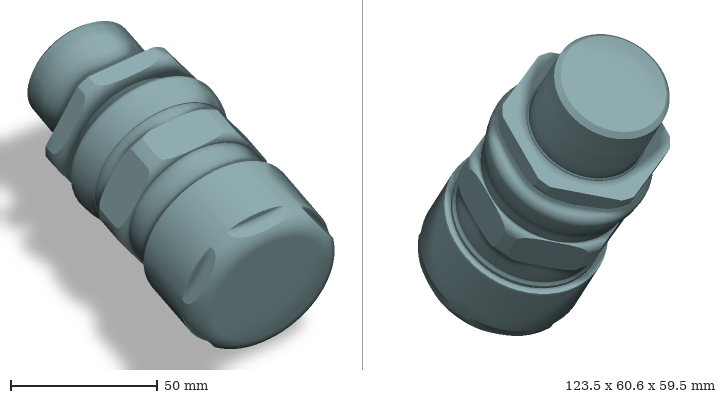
import cadquery as cq
import math

entry_chamfer_end = 1.7
thread_taper_end = 13.7
entry_hex_start = 28.3
entry_hex_end = 35.8
neck_start = 36.9
neck_flare_end = 41.0
ring_start = 41.4
ring_end = 55.0
body_hex_start = 60.6
body_hex_end = 76.3
collar_start = 87.8
collar_chamfer_end = 88.9
cap_start = 90.4
cap_flats_start = 115.1
overall_length = 123.5

entry_tip_diameter = 38.2
thread_tip_diameter = 41.9
thread_diameter = 42.1
neck_small_diameter = 45.0
neck_shoulder_diameter = 45.8
neck_large_diameter = 47.5
outer_diameter = 59.5
ring_rear_diameter = 54.7
body_front_diameter = 54.0
body_rear_diameter = 53.0
collar_diameter = ring_rear_diameter

side_count = 6
side_angle = 360 / side_count
hex_across_flats = 54.8
hex_corner_diameter = 60.6
entry_hex_rounding = 3.7
body_hex_rounding = 3.03

entry_fillet = 0.6
ring_front_rounding = 3.3
cap_end_rounding = 7.0
cap_step_fillet = 0.6
cap_lip_length = 0.7
cap_lip_depth = 0.1


def turned(profile):
    """Revolve a closed profile, drawn as X against radius, about the X axis."""
    return profile.close().revolve(360, (0, 0, 0), (1, 0, 0))


def hex_bar(start, end):
    """Hexagonal bar along X with flats facing +Z and -Z."""
    corner_to_corner = hex_across_flats / math.cos(math.pi / side_count)
    return cq.Workplane("YZ").workplane(offset=start).polygon(side_count, corner_to_corner).extrude(end - start)


def rounded_hex(start, end, rounding, round_front):
    """Hexagon whose corners are turned down to a cylinder with rounded ends."""
    blank = cq.Workplane("YZ").workplane(offset=start).circle(hex_corner_diameter / 2).extrude(end - start)
    blank = blank.faces(">X").edges().fillet(rounding)
    if round_front:
        blank = blank.faces("<X").edges().fillet(rounding)
    return blank.intersect(hex_bar(start, end))


def make_entry():
    """Tapered, chamfered entry spigot with a hexagon flange and a flared neck behind it."""
    spigot = turned(
        cq.Workplane("XY")
        .lineTo(0, entry_tip_diameter / 2)
        .lineTo(entry_chamfer_end, thread_tip_diameter / 2)
        .lineTo(thread_taper_end, thread_diameter / 2)
        .lineTo(entry_hex_start - entry_fillet, thread_diameter / 2)
        .radiusArc((entry_hex_start, thread_diameter / 2 + entry_fillet), entry_fillet)
        .lineTo(entry_hex_start, 0)
    )
    neck = turned(
        cq.Workplane("XY")
        .moveTo(entry_hex_end, 0)
        .lineTo(entry_hex_end, neck_shoulder_diameter / 2)
        .lineTo(neck_start, neck_small_diameter / 2)
        .lineTo(neck_flare_end, neck_large_diameter / 2)
        .lineTo(ring_start, neck_large_diameter / 2)
        .lineTo(ring_start, 0)
    )
    flange = rounded_hex(entry_hex_start, entry_hex_end, entry_hex_rounding, round_front=False)
    return spigot.union(flange).union(neck)


def make_seal_ring():
    """Barrel-shaped ring with a rounded front edge and a bulge that falls away to the rear."""
    crest = outer_diameter / 2
    crest_start = ring_start + ring_front_rounding
    bulge_length = ring_end - crest_start
    bulge_drop = crest - ring_rear_diameter / 2
    bulge_radius = (bulge_length**2 + bulge_drop**2) / (2 * bulge_drop)
    bore = neck_large_diameter / 2
    return turned(
        cq.Workplane("XY")
        .moveTo(ring_start, bore)
        .lineTo(ring_start, crest - ring_front_rounding)
        .radiusArc((crest_start, crest), ring_front_rounding)
        .radiusArc((ring_end, ring_rear_diameter / 2), bulge_radius)
        .lineTo(ring_end, bore)
    )


def make_body():
    """Main body: spigot through the ring, front cylinder, hexagon, rear cylinder and collar."""
    barrel = turned(
        cq.Workplane("XY")
        .moveTo(ring_start, 0)
        .lineTo(ring_start, neck_large_diameter / 2)
        .lineTo(ring_end, neck_large_diameter / 2)
        .lineTo(ring_end, body_front_diameter / 2)
        .lineTo(body_hex_start, body_front_diameter / 2)
        .lineTo(body_hex_start, body_rear_diameter / 2)
        .lineTo(collar_start, body_rear_diameter / 2)
        .lineTo(collar_chamfer_end, collar_diameter / 2)
        .lineTo(cap_start, collar_diameter / 2)
        .lineTo(cap_start, 0)
    )
    return barrel.union(rounded_hex(body_hex_start, body_hex_end, body_hex_rounding, round_front=True))


def make_cap():
    """Domed-edge cap nut with six wrench flats cut into its closed end."""
    radius = outer_diameter / 2
    blank = turned(
        cq.Workplane("XY")
        .moveTo(cap_start, 0)
        .lineTo(cap_start, radius - cap_lip_depth)
        .lineTo(cap_start + cap_lip_length, radius)
        .lineTo(overall_length - cap_end_rounding, radius)
        .radiusArc((overall_length, radius - cap_end_rounding), cap_end_rounding)
        .lineTo(overall_length, 0)
    )
    flat_distance = hex_across_flats / 2
    clear_of_cap = 2 * radius
    cutter = (
        cq.Workplane("XZ")
        .moveTo(cap_flats_start, clear_of_cap)
        .lineTo(cap_flats_start, flat_distance + cap_step_fillet)
        .radiusArc((cap_flats_start + cap_step_fillet, flat_distance), -cap_step_fillet)
        .lineTo(overall_length, flat_distance)
        .lineTo(overall_length, clear_of_cap)
        .close()
        .extrude(radius, both=True)
    )
    for index in range(side_count):
        blank = blank.cut(cutter.rotate((0, 0, 0), (1, 0, 0), side_angle * index))
    return blank


entry = make_entry()
seal_ring = make_seal_ring()
body = make_body()
cap = make_cap()

result = cq.Compound.makeCompound([entry.val(), seal_ring.val(), body.val(), cap.val()])